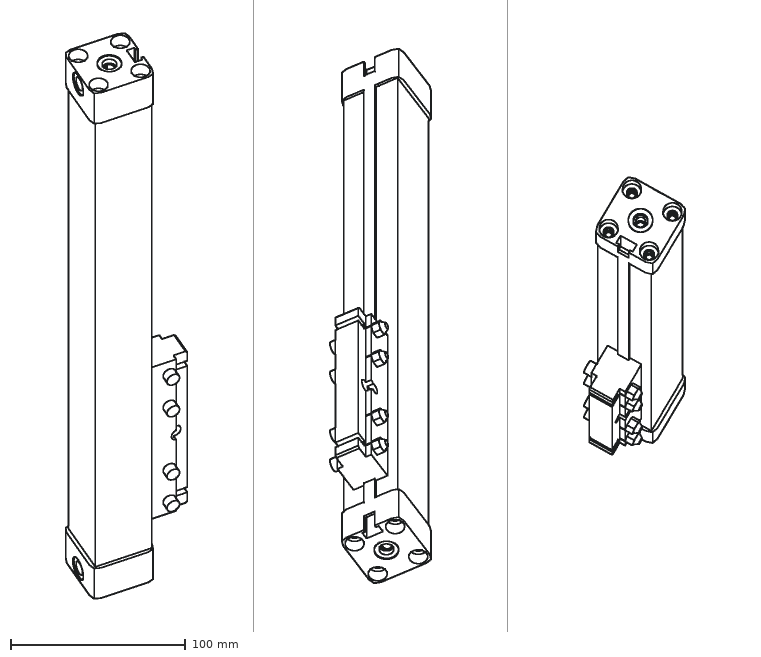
import cadquery as cq


LENGTH = 400.0
CAP_SIDE = 40.0
CAP_HEIGHT = 24.0
CAP_FLAT = 30.0
CAP_CORNER = 19.0
CAP_HALF = CAP_SIDE / 2
TUBE_WIDTH = 35.5
TUBE_FRONT = -17.5
TUBE_BACK = 18.5
TUBE_LENGTH = LENGTH - 2 * CAP_HEIGHT

BAND_WIDTH = 7.0
GROOVE_WIDTH = 11.0
GROOVE_FLOOR = 13.5
MOUTH_DEPTH = 12.0

PORT_SEAT_DIAMETER = 14.0
PORT_SEAT_DEPTH = 1.0
PORT_DIAMETER = 8.5
END_PORT_DEPTH = 4.0
END_DRILL_DIAMETER = 6.0
END_DRILL_DEPTH = 16.0
FRONT_PORT_DEPTH = CAP_HALF
FRONT_PORT_FROM_END = 8.5

SCREW_PITCH = 27.0
SCREW_STEPS = ((11.0, 8.0), (6.0, 12.0), (4.0, 16.0))

CARRIAGE_LENGTH = 120.0
CARRIAGE_CENTER_Z = 100.0
CARRIAGE_BOTTOM_Z = CARRIAGE_CENTER_Z - CARRIAGE_LENGTH / 2
BASE_WIDTH = 22.5
BASE_TOP = 37.0
RIDGE_WIDTH = 15.0
RIDGE_TOP = 46.0
RIDGE_CHAMFER = 1.0
SLOT_WIDTH = 4.0
SLOT_DEPTH = 7.0
CROSS_HOLE_DIAMETER = 7.5
CROSS_HOLE_Y = 38.0
PIN_HOLE_DIAMETER = 6.0
PIN_HOLE_DEPTH = 4.0
PIN_HOLE_Y = 33.0

OUTER_BOLT_OFFSET = 50.0
INNER_BOLT_OFFSET = OUTER_BOLT_OFFSET / 2
BOLT_Y = 33.0
HEAD_DIAMETER = 8.0
HEAD_HEIGHT = 5.0
HEX_DIAMETER = 9.0
HEX_HEIGHT = 5.0
TIP_DIAMETER = 7.5
TIP_END_DIAMETER = 4.0
TIP_HEIGHT = 3.0


def block(width, y_from, y_to, z_from, height):
    """Box centred on X = 0."""
    box = cq.Workplane("XY").box(width, y_to - y_from, height, centered=(True, False, False))
    return box.translate((0, y_from, z_from))


def drilled(body, plane, steps):
    """Cut coaxial round steps, each given as (diameter, depth), into the plane."""
    for diameter, depth in steps:
        body = body.cut(cq.Workplane(plane).circle(diameter / 2).extrude(-depth))
    return body


def cap():
    """Square cap, drawn with its closed outer end at Z = 0; every corner has two narrow bevels."""
    half_flat = CAP_FLAT / 2
    outline = []
    for x, y in ((1, 0), (0, 1), (-1, 0), (0, -1)):
        outline.append((x * CAP_HALF + y * half_flat, y * CAP_HALF - x * half_flat))
        outline.append((x * CAP_HALF - y * half_flat, y * CAP_HALF + x * half_flat))
        outline.append((CAP_CORNER * (x - y), CAP_CORNER * (y + x)))
    body = cq.Workplane("XY").polyline(outline).close().extrude(-CAP_HEIGHT)

    body = body.cut(block(GROOVE_WIDTH, GROOVE_FLOOR, TUBE_BACK, -CAP_HEIGHT, CAP_HEIGHT))
    body = body.cut(block(BAND_WIDTH, GROOVE_FLOOR, CAP_HALF, -MOUTH_DEPTH, MOUTH_DEPTH))

    seat_step = (PORT_SEAT_DIAMETER, PORT_SEAT_DEPTH)
    end_steps = (seat_step, (PORT_DIAMETER, END_PORT_DEPTH), (END_DRILL_DIAMETER, END_DRILL_DEPTH))
    body = drilled(body, cq.Plane.XY(), end_steps)
    front_plane = cq.Plane(origin=(0, -CAP_HALF, -FRONT_PORT_FROM_END), xDir=(1, 0, 0), normal=(0, -1, 0))
    body = drilled(body, front_plane, (seat_step, (PORT_DIAMETER, FRONT_PORT_DEPTH)))

    for x in (-SCREW_PITCH / 2, SCREW_PITCH / 2):
        for y in (-SCREW_PITCH / 2, SCREW_PITCH / 2):
            body = drilled(body, cq.Plane(origin=(x, y, 0)), SCREW_STEPS)
    return body


def make_cylinder():
    tube = block(TUBE_WIDTH, TUBE_FRONT, TUBE_BACK, CAP_HEIGHT, TUBE_LENGTH)
    band = block(BAND_WIDTH, GROOVE_FLOOR, CAP_HALF, CAP_HEIGHT, TUBE_LENGTH)
    upper_cap = cap().translate((0, 0, LENGTH))
    lower_cap = cap().mirror("XY")
    return tube.union(band).union(upper_cap).union(lower_cap)


def bolt(z):
    """Bolt along X at height z."""
    half_base = BASE_WIDTH / 2
    hex_face = -half_base - HEX_HEIGHT
    head_face = half_base + HEAD_HEIGHT
    head = cq.Workplane("YZ", origin=(0, BOLT_Y, z)).circle(HEAD_DIAMETER / 2).extrude(head_face)
    hexagon = cq.Workplane("YZ", origin=(hex_face, BOLT_Y, z)).polygon(6, HEX_DIAMETER).extrude(-hex_face)
    tip = (
        cq.Workplane("YZ", origin=(hex_face, BOLT_Y, z)).circle(TIP_DIAMETER / 2)
        .workplane(offset=-TIP_HEIGHT).circle(TIP_END_DIAMETER / 2).loft()
    )
    return head.union(hexagon).union(tip)


def make_carriage(cylinder):
    base = block(BASE_WIDTH, TUBE_BACK, BASE_TOP, CARRIAGE_BOTTOM_Z, CARRIAGE_LENGTH)
    ridge = block(RIDGE_WIDTH, BASE_TOP, RIDGE_TOP, CARRIAGE_BOTTOM_Z, CARRIAGE_LENGTH)
    ridge = ridge.faces(">Y").edges("|X").chamfer(RIDGE_CHAMFER)
    body = base.union(ridge).cut(cylinder)

    for offset in (-OUTER_BOLT_OFFSET, OUTER_BOLT_OFFSET):
        slot_z = CARRIAGE_CENTER_Z + offset - SLOT_WIDTH / 2
        body = body.cut(block(RIDGE_WIDTH, RIDGE_TOP - SLOT_DEPTH, RIDGE_TOP, slot_z, SLOT_WIDTH))

    side = -BASE_WIDTH / 2
    cross_plane = cq.Workplane("YZ", origin=(side, CROSS_HOLE_Y, CARRIAGE_CENTER_Z))
    body = body.cut(cross_plane.circle(CROSS_HOLE_DIAMETER / 2).extrude(BASE_WIDTH))
    pin_plane = cq.Workplane("YZ", origin=(side, PIN_HOLE_Y, CARRIAGE_CENTER_Z))
    body = body.cut(pin_plane.circle(PIN_HOLE_DIAMETER / 2).extrude(PIN_HOLE_DEPTH))

    for offset in (-OUTER_BOLT_OFFSET, -INNER_BOLT_OFFSET, INNER_BOLT_OFFSET, OUTER_BOLT_OFFSET):
        body = body.union(bolt(CARRIAGE_CENTER_Z + offset))
    return body


cylinder = make_cylinder()
carriage = make_carriage(cylinder)

result = cq.Compound.makeCompound([cylinder.val(), carriage.val()])